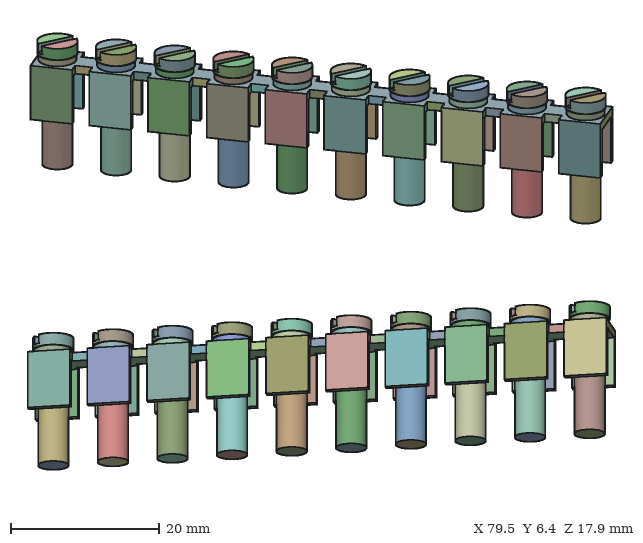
import cadquery as cq

overall_length = 79.55
clamp_count = 10
pitch = 8.2

clamp_length = overall_length - (clamp_count - 1) * pitch
clamp_width = 6.4
clamp_height = 7.9
plate_thickness = 1.2
leg_gap = 4.5

strip_width = 3.2

screw_height = 17.9
head_diameter = 5.5
head_height = 1.7
neck_diameter = 5.2
neck_height = 0.95
shank_diameter = 4.1
slot_width = 0.95
slot_depth = 1.2
slot_angle = 45.0

head_bottom = screw_height - head_height
plate_top = head_bottom - neck_height
plate_bottom = plate_top - plate_thickness
clamp_bottom = plate_top - clamp_height


def box_between(length, width, bottom, top):
    """Box centred on the Z axis, reaching from one level to another."""
    return cq.Workplane("XY").workplane(offset=bottom).rect(length, width).extrude(top - bottom)


def cylinder_between(diameter, bottom, top):
    """Cylinder on the Z axis, reaching from one level to another."""
    return cq.Workplane("XY").workplane(offset=bottom).circle(diameter / 2).extrude(top - bottom)


def make_clamp():
    body = box_between(clamp_length, clamp_width, clamp_bottom, plate_top)
    channel = box_between(clamp_length, leg_gap, clamp_bottom, plate_bottom)
    return body.cut(channel)


def make_screw():
    shank = cylinder_between(shank_diameter, 0, plate_top)
    neck = cylinder_between(neck_diameter, plate_top, head_bottom)
    head = cylinder_between(head_diameter, head_bottom, screw_height)
    slot = box_between(head_diameter, slot_width, screw_height - slot_depth, screw_height)
    slot = slot.rotate((0, 0, 0), (0, 0, 1), slot_angle)
    return shank.union(neck).union(head.cut(slot))


clamp_with_screw = make_clamp().union(make_screw())
result = box_between(overall_length, strip_width, plate_bottom, plate_top)
first_clamp_x = -(clamp_count - 1) * pitch / 2
for index in range(clamp_count):
    result = result.union(clamp_with_screw.translate((first_clamp_x + index * pitch, 0, 0)))